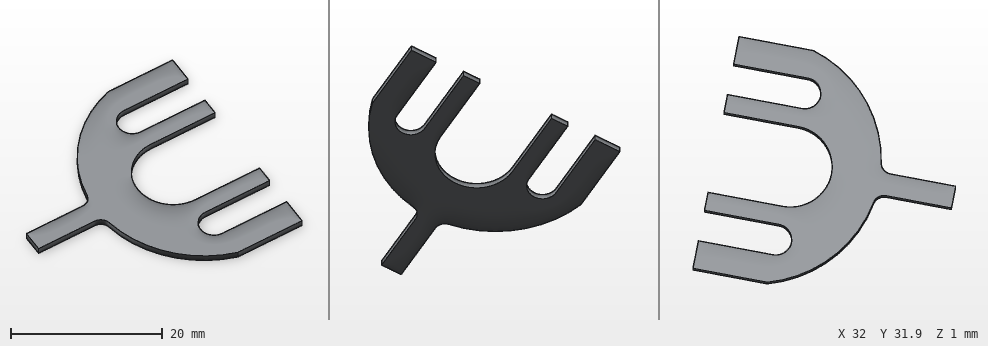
import cadquery as cq
import math

width = 32.0
length = 31.87
thickness = 1.0
half_width = width / 2

straight_length = 10.0
outer_tine_width = 3.8
side_slot_width = 4.2
center_slot_width = 11.0
side_slot_x = half_width - outer_tine_width - side_slot_width / 2

body_radius = 16.7
stem_width = 3.0
stem_fillet = 1.5

arc_center_y = -straight_length + math.sqrt(body_radius**2 - half_width**2)
arc_bottom_y = arc_center_y - body_radius


def make_body():
    return (
        cq.Workplane("XY")
        .moveTo(-half_width, 0)
        .lineTo(-half_width, -straight_length)
        .threePointArc((0, arc_bottom_y), (half_width, -straight_length))
        .lineTo(half_width, 0)
        .close()
        .extrude(thickness)
    )


def make_stem():
    stem_length = length + arc_center_y - body_radius / 2
    return (
        cq.Workplane("XY")
        .center(0, -length + stem_length / 2)
        .rect(stem_width, stem_length)
        .extrude(thickness)
    )


def make_slot(center_x, slot_width):
    radius = slot_width / 2
    return (
        cq.Workplane("XY")
        .moveTo(center_x - radius, 0)
        .lineTo(center_x - radius, -straight_length)
        .threePointArc(
            (center_x, -straight_length - radius),
            (center_x + radius, -straight_length),
        )
        .lineTo(center_x + radius, 0)
        .close()
        .extrude(thickness)
    )


result = make_body().union(make_stem())

corner_y = arc_center_y - math.sqrt(body_radius**2 - (stem_width / 2) ** 2)
for side in (-1, 1):
    corner = (side * stem_width / 2, corner_y, thickness / 2)
    result = result.edges(cq.selectors.NearestToPointSelector(corner)).fillet(stem_fillet)

for slot_x, slot_width in (
    (-side_slot_x, side_slot_width),
    (0, center_slot_width),
    (side_slot_x, side_slot_width),
):
    result = result.cut(make_slot(slot_x, slot_width))